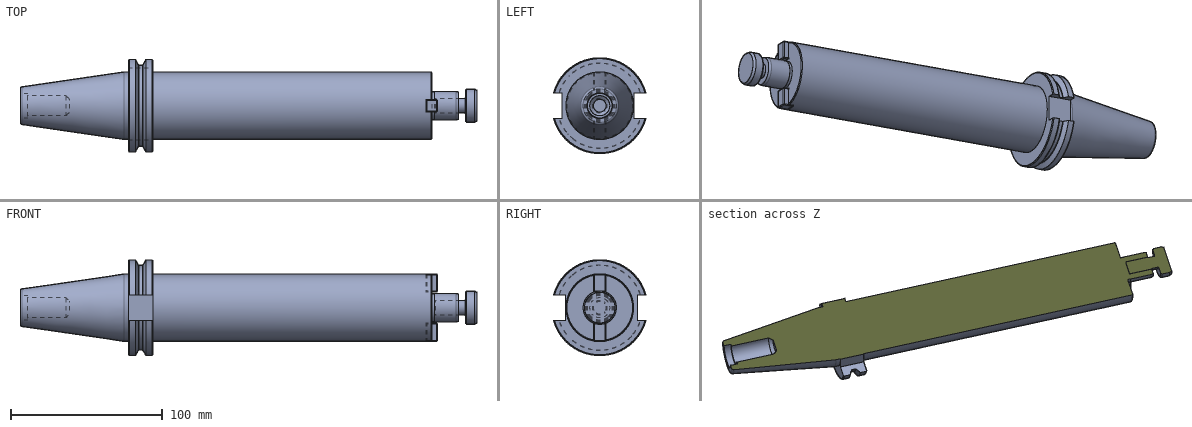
import cadquery as cq
import math


body_diameter = 44.5
body_radius = body_diameter / 2
gauge_x = 68.5
taper_ratio = 7 / 24
taper_end_radius = body_radius - gauge_x * taper_ratio / 2
taper_end_fillet = 1.5
body_end_x = 271.5
body_end_chamfer = 0.5

flange_diameter = 63.3
flange_radius = flange_diameter / 2
flange_start_x = 71.5
flange_end_x = 87.5
flange_chamfer = 0.5
groove_center_x = (flange_start_x + flange_end_x) / 2
groove_top_width = 7.0
groove_depth = 3.5
groove_root_fillet = 0.3
groove_flank_angle = 30
groove_root_width = groove_top_width - 2 * groove_depth * math.tan(math.radians(groove_flank_angle))
notch_width = 16.5
notch_floor_front = 22.5
notch_floor_back = 25.0

pilot_diameter = 19.0
pilot_end_x = 289.0
pilot_chamfer_length = 1.8
pilot_chamfer_depth = 0.45
undercut_diameter = 18.7
undercut_length = 1.8

mouth_diameter = 17.0
counterbore_diameter = 16.3
counterbore_depth = 4.8
bore_diameter = 13.3
bore_depth = 30
bore_bottom_diameter = 8.5
mouth_chamfer = (mouth_diameter - counterbore_diameter) / 2
bore_cone_length = (bore_diameter - bore_bottom_diameter) / 2

key_width = 8.0
key_start_x = 267.5
key_end_x = 275.0
key_inner_z = 10.2
key_outer_z = 22.3
key_chamfer = 0.5

shank_diameter = 9.5
shank_depth = 15
neck_fillet = 0.5
head_diameter = 22.0
head_start_x = 293.5
head_end_x = 301.2
head_chamfer_depth = 1.0
head_chamfer_start_length = 1.0
head_chamfer_end_length = 1.8


def revolve_about_x(points):
    """Revolve a closed (x, radius) outline about the X axis."""
    outline = cq.Workplane("XY").polyline(points).close()
    return outline.revolve(360, (0, 0, 0), (1, 0, 0))


def cylinder_along_x(diameter, start_x, end_x):
    return cq.Workplane("YZ", origin=(start_x, 0, 0)).circle(diameter / 2).extrude(end_x - start_x)


def make_shank_and_taper():
    shank = revolve_about_x([
        (0, 0),
        (0, taper_end_radius),
        (gauge_x, body_radius),
        (body_end_x, body_radius),
        (body_end_x, 0),
    ])
    shank = shank.faces("<X").edges().fillet(taper_end_fillet)
    return shank.faces(">X").edges().chamfer(body_end_chamfer)


def make_flange():
    flange = cylinder_along_x(flange_diameter, flange_start_x, flange_end_x)
    flange = flange.edges().chamfer(flange_chamfer)
    root_radius = flange_radius - groove_depth
    groove = revolve_about_x([
        (groove_center_x - groove_top_width / 2, flange_radius),
        (groove_center_x - groove_root_width / 2, root_radius),
        (groove_center_x + groove_root_width / 2, root_radius),
        (groove_center_x + groove_top_width / 2, flange_radius),
    ])
    groove = groove.edges(cq.selectors.RadiusNthSelector(0)).fillet(groove_root_fillet)
    flange = flange.cut(groove)
    flange_length = flange_end_x - flange_start_x
    for side, floor in ((-1, notch_floor_front), (1, notch_floor_back)):
        depth = flange_radius - floor
        notch = cq.Workplane("XY").box(flange_length, depth, notch_width)
        flange = flange.cut(notch.translate((groove_center_x, side * (floor + depth / 2), 0)))
    return flange


def make_pilot():
    undercut_end_x = body_end_x + undercut_length
    pilot_radius = pilot_diameter / 2
    return revolve_about_x([
        (body_end_x, 0),
        (body_end_x, undercut_diameter / 2),
        (undercut_end_x, undercut_diameter / 2),
        (undercut_end_x, pilot_radius),
        (pilot_end_x - pilot_chamfer_length, pilot_radius),
        (pilot_end_x, pilot_radius - pilot_chamfer_depth),
        (pilot_end_x, 0),
    ])


def make_drawbar_bore():
    return revolve_about_x([
        (0, 0),
        (0, mouth_diameter / 2),
        (mouth_chamfer, counterbore_diameter / 2),
        (counterbore_depth, counterbore_diameter / 2),
        (counterbore_depth, bore_diameter / 2),
        (bore_depth, bore_diameter / 2),
        (bore_depth + bore_cone_length, bore_bottom_diameter / 2),
        (bore_depth + bore_cone_length, 0),
    ])


def key_block(side):
    """Plain block filling a key's place; side is +1 for the +Z key and -1 for the -Z key."""
    length = key_end_x - key_start_x
    height = key_outer_z - key_inner_z
    block = cq.Workplane("XY").box(length, key_width, height)
    return block.translate((key_start_x + length / 2, 0, side * (key_inner_z + height / 2)))


def make_holder():
    holder = make_shank_and_taper().union(make_flange()).union(make_pilot())
    holder = holder.cut(make_drawbar_bore())
    holder = holder.cut(cylinder_along_x(shank_diameter, pilot_end_x - shank_depth, pilot_end_x))
    for side in (1, -1):
        holder = holder.cut(key_block(side))
    return holder


def make_key(side):
    return key_block(side).edges().chamfer(key_chamfer)


def make_screw():
    shank_radius = shank_diameter / 2
    head_radius = head_diameter / 2
    head_face_radius = head_radius - head_chamfer_depth
    screw = revolve_about_x([
        (pilot_end_x - shank_depth, 0),
        (pilot_end_x - shank_depth, shank_radius),
        (head_start_x, shank_radius),
        (head_start_x, head_face_radius),
        (head_start_x + head_chamfer_start_length, head_radius),
        (head_end_x - head_chamfer_end_length, head_radius),
        (head_end_x, head_face_radius),
        (head_end_x, 0),
    ])
    neck_corner = cq.selectors.BoxSelector(
        (head_start_x - neck_fillet, -shank_diameter, -shank_diameter),
        (head_start_x + neck_fillet, shank_diameter, shank_diameter),
        boundingbox=True,
    )
    return screw.edges(neck_corner).fillet(neck_fillet)


holder = make_holder()
keys = [make_key(side) for side in (1, -1)]
screw = make_screw()

result = cq.Compound.makeCompound([holder.val(), *[key.val() for key in keys], screw.val()])